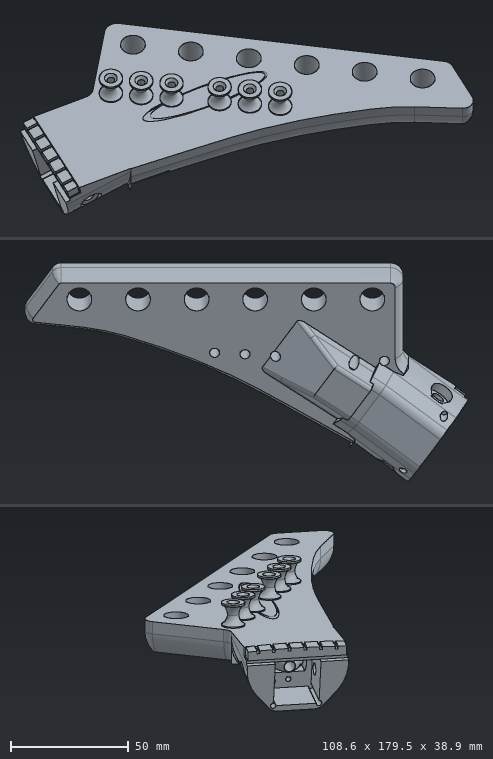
import cadquery as cq
import math


plate_thickness = 14.4
plate_side_height = 5.4
underside_inset = 3.4
neck_half_width = 22.2
tip_y = 172.45
corner_radius = 5.5
tip_corner_radius = 4.5
edge_slope = 0.54
edge_start_slope = 0.03
edge_start = (22.4, 23.9)
edge_points = [(23.5, 42.0), (26.8, 82.8), (34.9, 121.8)]
edge_end = (44.38, 147.7)

tuner_count = 6
tuner_pitch = 25.0
tuner_diameter = 10.5
tuner_angle = math.radians(55.25)
first_tuner = (-39.5, 55.1)
long_edge_offset = 11.0
short_edge_offset = 13.15

post_radius = 5.0
post_waist_radius = 2.4
post_height = 10.2
post_waist_drop = 0.2
post_flare_radius = 2.85
post_flare_offset = 2.0
post_flare_top_radius = 4.2
post_flange_thickness = 0.9
post_base_thickness = 0.5
post_bore_diameter = 3.2
post_sink_diameter = 5.4
post_sink_depth = 1.4
post_row_angle = math.radians(58.2)
post_row_y = 65.5
post_pitch = 13.0
post_inner_offset = 10.3
post_hole_diameter = 4.2
post_hole_depth = 21.0

neck_tilt = 11.6
neck_front_y = -7.0
neck_front_z = -6.5
neck_depth = 22.69
neck_blank_top = 20.0
neck_straight_length = 36.0
neck_shoulder_height = 13.3
neck_shoulder_radius = 20.0
neck_flat_half_width = 10.4
neck_flat_radius = 6.0
heel_start_y = 15.0
heel_end_y = 36.0
heel_bottom_z = -22.2

volute_top_half_width = 14.4
volute_side_half_width = 13.0
volute_side_z = -17.0
volute_bottom_half_width = 8.5
volute_edge_radius = 2.5
volute_bottom_z = -24.3
volute_front_y = 34.0
volute_flat_end_y = 52.5
volute_tip_y = 75.8

pocket_width = 20.0
pocket_depth = 19.9
pocket_length = 16.2
recess_end = 22.0
recess_floor_depth = 12.5
relief_radius = 1.2
wall_hole_diameter = 2.2
wall_hole_depth = 4.0
wall_hole_places = [(0.0, -16.0), (-6.8, -16.6)]

cross_hole_y = 5.9
cross_hole_z = -13.3
cross_hole_diameter = 5.2
cross_sink_diameter = 10.0
cross_sink_floor_x = 18.0
side_hole_x = 15.3
side_hole_y = 1.1
side_hole_diameter = 3.2
side_hole_top_z = -17.0

plug_centre_y = 70.0
plug_bore_radius = 5.9
plug_clearance = 0.45
plug_drop = 0.25
nose_base_radius = 7.6
nose_tip_radius = 2.6
nose_length = 7.0
nose_bore_diameter = 4.8
nose_bore_depth = 26.0

nut_half_width = 21.6
nut_seat_back = 7.6
nut_back_gap = 0.4
nut_thickness = 5.0
nut_front = nut_seat_back - nut_back_gap - nut_thickness
nut_seat_height = 1.3
nut_side_height = 5.5
nut_crown_height = 6.1
string_count = 6
string_pitch = 6.85
slot_width = 1.2
slot_depth = 1.3

far = 100.0
overshoot = 1.0

tilt = math.radians(neck_tilt)


def to_neck_frame(shape):
    """Tilt a shape drawn about the origin and move it to the front of the neck."""
    tilted = shape.rotate((0, 0, 0), (1, 0, 0), neck_tilt)
    return tilted.translate((0, neck_front_y, neck_front_z))


def box_between(x_range, y_range, z_range):
    """Box given by its two limits along each axis."""
    size = [high - low for low, high in (x_range, y_range, z_range)]
    corner = (x_range[0], y_range[0], z_range[0])
    return cq.Workplane("XY").box(*size, centered=False).translate(corner)


def rod_along_y(radius, x, z, y_start, y_end):
    """Round bar parallel to Y."""
    bar = cq.Workplane("XZ").center(x, z).circle(radius).extrude(y_start - y_end)
    return bar.translate((0, y_start, 0))


def vertical_holes(places, diameter, z_top, depth):
    """Round bars that run down from z_top."""
    return cq.Workplane("XY", origin=(0, 0, z_top)).pushPoints(places).circle(diameter / 2).extrude(-depth)


row_dir = (math.cos(tuner_angle), math.sin(tuner_angle))
tuner_places = [
    (first_tuner[0] + i * tuner_pitch * row_dir[0], first_tuner[1] + i * tuner_pitch * row_dir[1])
    for i in range(tuner_count)
]

post_offsets = [side * (post_inner_offset + i * post_pitch) for side in (-1, 1) for i in range(3)]
post_places = [
    (d * math.cos(post_row_angle), post_row_y + d * math.sin(post_row_angle)) for d in post_offsets
]
post_holes = vertical_holes(post_places, post_hole_diameter, 0, post_hole_depth)

bore_axis_z = -(plug_centre_y - neck_front_y) * math.sin(tilt) - neck_front_z * math.cos(tilt)
plug_axis_z = bore_axis_z - plug_drop
below_recess = box_between((-far, far), (-far, recess_end), (-far, -recess_floor_depth))
above_top = box_between((-far, far), (-far, 2 * far), (0, far))


def rounded_corner(before, corner, after, radius):
    """Start, middle and end points of an arc that rounds a corner between two straight edges."""
    a = cq.Vector(*before).sub(cq.Vector(*corner)).normalized()
    b = cq.Vector(*after).sub(cq.Vector(*corner)).normalized()
    half = a.getAngle(b) / 2
    setback = radius / math.tan(half)
    middle = a.add(b).normalized() * (radius / math.sin(half) - radius)
    vertex = cq.Vector(*corner)
    return [(p.x, p.y) for p in (vertex + a * setback, vertex + middle, vertex + b * setback)]


def plate_edge():
    """Open outline from the left of the neck, round the tip, to its right, and its starting point."""
    left_corner = (
        first_tuner[0] - long_edge_offset * row_dir[1] - short_edge_offset * row_dir[0],
        first_tuner[1] + long_edge_offset * row_dir[0] - short_edge_offset * row_dir[1],
    )
    inner_corner = (
        -neck_half_width,
        left_corner[1] - (-neck_half_width - left_corner[0]) * row_dir[0] / row_dir[1],
    )
    tip_left = (left_corner[0] + (tip_y - left_corner[1]) / math.tan(tuner_angle), tip_y)
    tip_right = (edge_end[0] + (tip_y - edge_end[1]) * edge_slope, tip_y)

    inner = rounded_corner((-neck_half_width, 0), inner_corner, left_corner, corner_radius)
    left = rounded_corner(inner_corner, left_corner, tip_left, corner_radius)
    top_left = rounded_corner(left_corner, tip_left, tip_right, tip_corner_radius)
    top_right = rounded_corner(tip_left, tip_right, edge_end, tip_corner_radius)

    edge = cq.Workplane("XY").moveTo(*inner[0]).threePointArc(*inner[1:])
    for corner in (left, top_left, top_right):
        edge = edge.lineTo(*corner[0]).threePointArc(*corner[1:])
    edge = edge.lineTo(*edge_end)
    curve = list(reversed([edge_start] + edge_points))
    directions = [(-edge_slope, -1), (-edge_start_slope, -1)]
    edge = edge.spline(curve, tangents=directions, includeCurrent=True)
    return edge, inner[0]


def make_plate():
    edge, start = plate_edge()
    blank = edge.close().extrude(-plate_thickness)

    drop = plate_thickness - plate_side_height
    radius = (drop**2 + underside_inset**2) / (2 * underside_inset)
    half_turn = math.asin(drop / radius) / 2
    arc_middle = (radius * (1 - math.cos(half_turn)), -plate_side_height - radius * math.sin(half_turn))
    profile = (
        cq.Workplane("XZ", origin=(start[0], start[1], 0))
        .moveTo(0, -plate_side_height)
        .threePointArc(arc_middle, (underside_inset, -plate_thickness))
        .lineTo(underside_inset, -plate_thickness - overshoot)
        .lineTo(-overshoot, -plate_thickness - overshoot)
        .lineTo(-overshoot, -plate_side_height)
        .close()
    )
    open_edge = plate_edge()[0].wire()
    return blank.cut(profile.sweep(open_edge))


def neck_profile(bottom, length):
    """D-shaped neck section with its flat at the given height, running from Y = 0 up to the length."""
    shoulder_z = bottom + neck_shoulder_height
    body = (
        cq.Workplane("XZ")
        .moveTo(neck_half_width, neck_blank_top)
        .lineTo(neck_half_width, shoulder_z)
        .lineTo(neck_flat_half_width, bottom)
        .lineTo(-neck_flat_half_width, bottom)
        .lineTo(-neck_half_width, shoulder_z)
        .lineTo(-neck_half_width, neck_blank_top)
        .close()
        .extrude(-length)
    )
    low_corner = (-far, -far, shoulder_z - overshoot)
    high_corner = (far, far, shoulder_z + overshoot)
    on_shoulder = cq.selectors.BoxSelector(low_corner, high_corner)
    body = body.edges("|Y").edges(on_shoulder).fillet(neck_shoulder_radius)
    return body.edges("|Y and <Z").fillet(neck_flat_radius)


def make_neck():
    straight = to_neck_frame(neck_profile(-neck_depth, neck_straight_length))
    heel = neck_profile(heel_bottom_z, heel_end_y - heel_start_y).translate((0, heel_start_y, 0))
    return straight.union(heel).cut(above_top)


def is_lower_edge(edge):
    """True for the edges that run along the bottom or the ramp of the volute."""
    tolerance = 0.01
    centre = edge.Center()
    ramp_slope = (volute_bottom_z + plate_thickness) / (volute_tip_y - volute_flat_end_y)
    ramp_z = -plate_thickness + (volute_tip_y - centre.y) * ramp_slope
    return abs(centre.z - max(ramp_z, volute_bottom_z)) < tolerance and abs(centre.x) > tolerance


def make_volute():
    side = (
        cq.Workplane("YZ")
        .moveTo(volute_front_y, -plate_side_height)
        .lineTo(volute_front_y, volute_bottom_z)
        .lineTo(volute_flat_end_y, volute_bottom_z)
        .lineTo(volute_tip_y, -plate_thickness)
        .lineTo(volute_tip_y, -plate_side_height)
        .close()
        .extrude(volute_top_half_width, both=True)
    )
    section = (
        cq.Workplane("XZ")
        .moveTo(volute_top_half_width, -plate_side_height)
        .lineTo(volute_top_half_width, -plate_thickness)
        .lineTo(volute_side_half_width, volute_side_z)
        .lineTo(volute_bottom_half_width, volute_bottom_z)
        .lineTo(-volute_bottom_half_width, volute_bottom_z)
        .lineTo(-volute_side_half_width, volute_side_z)
        .lineTo(-volute_top_half_width, -plate_thickness)
        .lineTo(-volute_top_half_width, -plate_side_height)
        .close()
        .extrude(-2 * far)
    )
    volute = side.intersect(section)
    return volute.edges().filter(is_lower_edge).fillet(volute_edge_radius)


def pocket_cut():
    """Pocket open at the front of the neck, with relieved corners and a round recess in its end wall."""
    half = pocket_width / 2
    channel = box_between((-half, half), (-overshoot, pocket_length), (-pocket_depth, 0))
    recess = rod_along_y(nose_base_radius, 0, plug_axis_z, pocket_length - overshoot, recess_end)
    cut = channel.union(recess.cut(below_recess))
    for x in (-half, half):
        cut = cut.union(rod_along_y(relief_radius, x, -pocket_depth, -overshoot, pocket_length))
    hole_end = pocket_length + wall_hole_depth
    for x, z in wall_hole_places:
        cut = cut.union(rod_along_y(wall_hole_diameter / 2, x, z, 0, hole_end))
    return to_neck_frame(cut)


def nut_seat_cut():
    """Clear the front ledge, leaving a raised step under the nut."""
    ledge = box_between((-far, far), (-far, nut_front), (0, far))
    seat = box_between((-far, far), (-far, nut_seat_back), (nut_seat_height, far))
    return to_neck_frame(ledge.union(seat))


def cross_hole_cut():
    """Hole across the neck, sunk flat on both sides."""
    hole = cq.Workplane("YZ").center(cross_hole_y, cross_hole_z)
    cut = hole.circle(cross_hole_diameter / 2).extrude(far, both=True)
    for side in (-1, 1):
        sink = hole.circle(cross_sink_diameter / 2).extrude(side * far)
        cut = cut.union(sink.translate((side * cross_sink_floor_x, 0, 0)))
    return cut


def side_hole_cut():
    places = [(-side_hole_x, side_hole_y), (side_hole_x, side_hole_y)]
    return vertical_holes(places, side_hole_diameter, side_hole_top_z, far)


def plug_bore_cut():
    return to_neck_frame(rod_along_y(plug_bore_radius, 0, bore_axis_z, recess_end - overshoot, 2 * far))


def make_headstock():
    body = make_plate().union(make_neck()).union(make_volute())
    body = body.cut(nut_seat_cut()).cut(pocket_cut())
    body = body.cut(cross_hole_cut()).cut(side_hole_cut())
    body = body.cut(vertical_holes(tuner_places, tuner_diameter, 0, far))
    return body.cut(plug_bore_cut()).cut(post_holes)


def make_plug():
    radius = plug_bore_radius - plug_clearance
    bar = rod_along_y(radius, 0, plug_axis_z, recess_end, 2 * far)
    nose = (
        cq.Workplane("XY")
        .moveTo(0, recess_end)
        .lineTo(nose_base_radius, recess_end)
        .lineTo(nose_tip_radius, recess_end - nose_length)
        .lineTo(0, recess_end - nose_length)
        .close()
        .revolve(360, (0, 0, 0), (0, 1, 0))
        .translate((0, 0, plug_axis_z))
    )
    nose = nose.cut(below_recess)
    bore_start = recess_end - nose_length
    bore = rod_along_y(nose_bore_diameter / 2, 0, plug_axis_z, bore_start, bore_start + nose_bore_depth)
    plug = to_neck_frame(bar.union(nose).cut(bore))
    return plug.cut(above_top).cut(post_holes)


def make_post(x, y):
    """Waisted post with a countersunk through hole, standing on the top face."""
    waist_z = post_height / 2 - post_waist_drop
    flange_z = post_height - post_flange_thickness
    post = (
        cq.Workplane("XZ")
        .moveTo(post_bore_diameter / 2, 0)
        .lineTo(post_radius, 0)
        .lineTo(post_radius, post_base_thickness)
        .threePointArc((post_flare_radius, waist_z - post_flare_offset), (post_waist_radius, waist_z))
        .threePointArc((post_flare_radius, waist_z + post_flare_offset), (post_flare_top_radius, flange_z))
        .lineTo(post_radius, flange_z)
        .lineTo(post_radius, post_height)
        .lineTo(post_sink_diameter / 2, post_height)
        .lineTo(post_bore_diameter / 2, post_height - post_sink_depth)
        .close()
        .revolve(360, (0, 0, 0), (0, 1, 0))
    )
    return post.translate((x, y, 0))


def make_nut():
    """Crowned bar across the neck with one slot per string."""
    nut = (
        cq.Workplane("XZ")
        .moveTo(-nut_half_width, nut_seat_height)
        .lineTo(nut_half_width, nut_seat_height)
        .lineTo(nut_half_width, nut_side_height)
        .threePointArc((0, nut_crown_height), (-nut_half_width, nut_side_height))
        .close()
        .extrude(-nut_thickness)
        .translate((0, nut_front, 0))
    )
    crown_drop = nut_crown_height - nut_side_height
    for i in range(string_count):
        x = (i - (string_count - 1) / 2) * string_pitch
        floor = nut_crown_height - crown_drop * (x / nut_half_width) ** 2 - slot_depth
        nut = nut.cut(box_between((x - slot_width / 2, x + slot_width / 2), (0, far), (floor, far)))
    return to_neck_frame(nut)


headstock = make_headstock()
plug = make_plug()
nut = make_nut()
posts = [make_post(x, y) for x, y in post_places]

result = cq.Compound.makeCompound(
    [
        headstock.solids().val(),
        plug.solids().val(),
        nut.solids().val(),
        *[post.val() for post in posts],
    ]
)